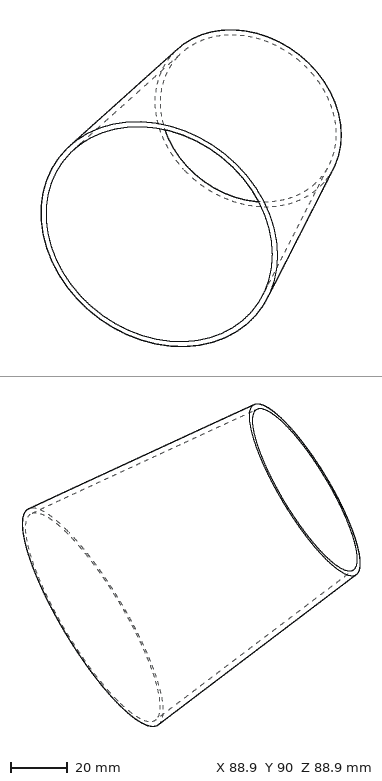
import cadquery as cq

length = 90.0
large_diameter = 88.9
small_diameter = 70.0
wall = 2.0

large_radius = large_diameter / 2
small_radius = small_diameter / 2

wall_section = (
    cq.Workplane("XY")
    .moveTo(large_radius - wall, 0)
    .lineTo(large_radius, 0)
    .lineTo(small_radius, length)
    .lineTo(small_radius - wall, length)
    .close()
)

result = wall_section.revolve(360, (0, 0, 0), (0, 1, 0))